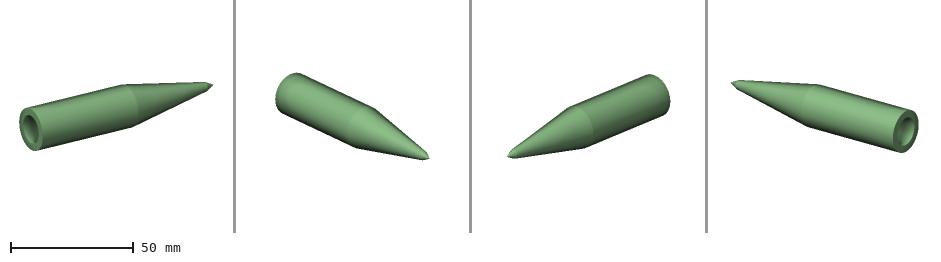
import cadquery as cq

total_length = 88.0
body_diameter = 18.0
body_length = 46.0
tip_diameter = 4.0
tip_length = 4.05

socket_mouth_diameter = 12.0
socket_floor_diameter = 8.0
socket_depth = 35.0

body_radius = body_diameter / 2
tip_start = total_length - tip_length


def revolve_about_y(outline):
    """Turn a closed (radius, Y) outline into a solid around the Y axis."""
    return cq.Workplane("XY").polyline(outline).close().revolve(360, (0, 0), (0, 1))


outer_shape = revolve_about_y([
    (0, 0),
    (body_radius, 0),
    (body_radius, body_length),
    (tip_diameter / 2, tip_start),
    (0, total_length),
])

socket = revolve_about_y([
    (0, 0),
    (socket_mouth_diameter / 2, 0),
    (socket_floor_diameter / 2, socket_depth),
    (0, socket_depth),
])

result = outer_shape.cut(socket)